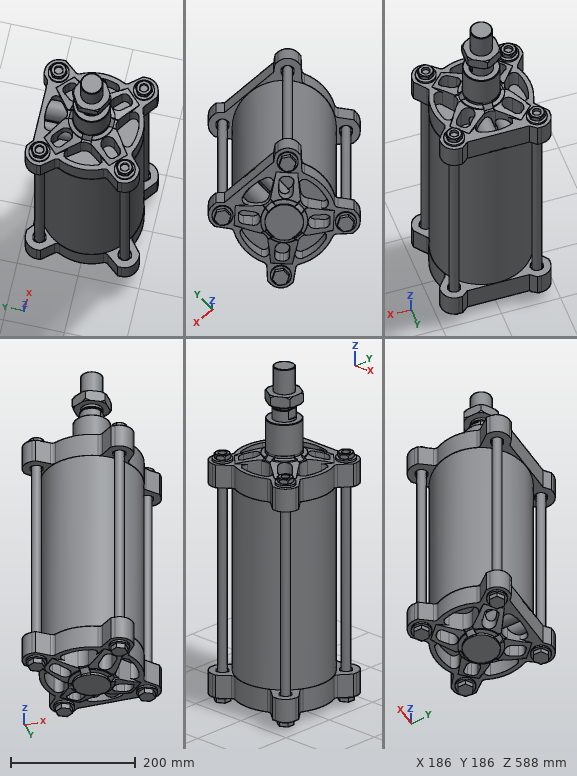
import cadquery as cq
import math


total_height = 588.0
cap_thickness = 40.0
hub_height = 18.0
sleeve_top = 497.5
top_cap_face = 424.5
bottom_cap_face = hub_height
mid_height = (top_cap_face + bottom_cap_face) / 2

overall_width = 186.0
boss_radius = 23.0
boss_offset = overall_width / 2 - boss_radius
cap_radius = 84.0
flat_side_half_width = 53.0
neck_start = 63.5
neck_end_near = 39.0
neck_end_far = 73.0
neck_fillet = 7.0
neck_limit = 79.0

pocket_depth = 30.0
pocket_apex = 36.5
rib_side_angle = 36.0
pocket_radius = 76.0
pocket_fillet = 9.0
pocket_tip_fillet = 15.0
rib_end = 79.5
dome_radius = 82.0
dome_rise = 13.5
rib_web_radius = 44.5
rib_slot_inner_end = 38.0
rib_slot_outer_end = 73.5
rib_slot_width = 23.5
rib_slot_outer_fillet = 9.0

port_bosses = ((-20.5, 24.0), (12.5, 34.0))
port_axis_depth = cap_thickness / 2
port_inner_end = 17.5

hub_diameter = 60.5
hub_radius = hub_diameter / 2
hub_base_radius = 36.5
hub_base_rise = 7.0
hub_cone_rise = 14.5
ring_diameter = 62.0
ring_radius = ring_diameter / 2
ring_base_radius = 37.5
ring_base_rise = 13.0
ring_neck_rise = 14.0
ring_slot_width = 16.0

barrel_diameter = 167.0
sleeve_chamfer = 1.0
tie_rod_diameter = 16.0
tie_rod_clearance_diameter = 21.0
tie_rod_clearance_depth = 6.0
washer_diameter = 33.5
washer_thickness = 3.5
tie_nut_flats = 24.0
tie_nut_height = 9.0
tie_nut_chamfer = 2.5
tie_nut_recess_diameter = 14.0
tie_nut_recess_depth = 6.0

rod_diameter = 40.0
thread_diameter = 36.0
relief_diameter = 33.5
shoulder_height = 517.5
relief_height = 2.5
rod_chamfer = 1.0
rod_foot = top_cap_face - cap_thickness
rod_flats = 36.0
rod_flat_bottom = 501.5
lock_nut_flats = 55.0
lock_nut_bottom = 525.5
lock_nut_height = 19.0
lock_nut_chamfer = 3.0

QUARTERS = (0, 90, 180, 270)
DIAGONAL = 45
HALF_HEX_ANGLE = 30


def about_z(shape, angle):
    return shape.rotate((0, 0, 0), (0, 0, 1), angle)


def revolved(profile):
    """Revolve a closed (radius, height) outline about Z."""
    return cq.Workplane("XZ").polyline(profile).close().revolve(360, (0, 0, 0), (0, 1, 0))


def cylinder(diameter, height, base):
    return cq.Workplane("XY").workplane(offset=base).circle(diameter / 2).extrude(height)


def hexagon(flats, height, base):
    """Hexagonal prism with flats facing +X and -X."""
    across_corners = flats / math.cos(math.radians(HALF_HEX_ANGLE))
    prism = cq.Workplane("XY").workplane(offset=base).polygon(6, across_corners).extrude(height)
    return about_z(prism, HALF_HEX_ANGLE)


def chamfered_hexagon(flats, height, base, chamfer):
    """Hexagonal prism whose corners are chamfered by a cone at both ends."""
    across_corners = flats / math.cos(math.radians(HALF_HEX_ANGLE))
    envelope = cylinder(across_corners, height, base).faces(">Z or <Z").chamfer(chamfer)
    return hexagon(flats, height, base).intersect(envelope)


def cap_blank():
    """Round body with four corner bosses and a straight +Y side, outer face at Z = 0."""
    def plate():
        return cq.Workplane("XY").workplane(offset=-cap_thickness)

    body = plate().circle(cap_radius).extrude(cap_thickness)
    edge = overall_width / 2
    arc_mid = boss_offset + boss_radius * math.sqrt(0.5)
    corner = (
        plate()
        .moveTo(0, 0)
        .lineTo(neck_end_near, neck_end_far)
        .lineTo(neck_start, edge)
        .lineTo(boss_offset, edge)
        .threePointArc((arc_mid, arc_mid), (edge, boss_offset))
        .lineTo(edge, neck_start)
        .lineTo(neck_end_far, neck_end_near)
        .close()
        .extrude(cap_thickness)
    )
    for angle in QUARTERS:
        body = body.union(about_z(corner, angle))
    neck_corners = cq.selectors.BoxSelector(
        (-neck_limit, -neck_limit, -cap_thickness),
        (neck_limit, neck_limit, 0),
    )
    body = body.edges("|Z").edges(neck_corners).fillet(neck_fillet)
    flat_side = plate().center(0, cap_radius / 2).rect(2 * flat_side_half_width, cap_radius)
    return body.union(flat_side.extrude(cap_thickness))


def raised_ribs():
    """Four diagonal ribs between the pocket apexes, under one shallow dome."""
    slope = math.tan(math.radians(rib_side_angle))
    near = (rib_end * math.sqrt(2) - pocket_apex) / (1 + slope)
    far = pocket_apex + near * slope
    outline = [(0, 0), (0, pocket_apex), (near, far), (far, near), (pocket_apex, 0)]
    prism = cq.Workplane("XY").polyline(outline).close().extrude(hub_height)
    cross = cylinder(2 * rib_web_radius, hub_height, 0)
    for angle in QUARTERS:
        cross = cross.union(about_z(prism, angle))
    sphere_radius = (dome_radius**2 + dome_rise**2) / (2 * dome_rise)
    sphere = cq.Workplane("XY").sphere(sphere_radius)
    return cross.intersect(sphere.translate((0, 0, dome_rise - sphere_radius)))


def rib_slot():
    """Opening along the +X+Y rib with a round inner end and rounded outer corners."""
    half_width = rib_slot_width / 2
    arc_start = rib_slot_inner_end + half_width
    slot = (
        cq.Workplane("XY")
        .workplane(offset=-pocket_depth)
        .moveTo(arc_start, -half_width)
        .lineTo(rib_slot_outer_end, -half_width)
        .lineTo(rib_slot_outer_end, half_width)
        .lineTo(arc_start, half_width)
        .threePointArc((rib_slot_inner_end, 0), (arc_start, -half_width))
        .close()
        .extrude(pocket_depth + dome_rise)
    )
    slot = slot.edges("|Z and >X").fillet(rib_slot_outer_fillet)
    return about_z(slot, DIAGONAL)


def face_pocket():
    """Rounded sector pocket on the +Y side."""
    reach = cap_radius
    drop = reach * math.tan(math.radians(rib_side_angle))
    pocket_height = pocket_depth + dome_rise
    sector = (
        cq.Workplane("XY")
        .workplane(offset=-pocket_depth)
        .polyline([(0, pocket_apex), (reach, pocket_apex + drop), (-reach, pocket_apex + drop)])
        .close()
        .extrude(pocket_height)
    )
    sector = sector.intersect(cylinder(2 * pocket_radius, pocket_height, -pocket_depth))
    sector = sector.edges("|Z and (>X or <X)").fillet(pocket_fillet)
    return sector.edges("|Z and <Y").fillet(pocket_tip_fillet)


def port_boss(x_position, diameter):
    return (
        cq.Workplane("XZ", origin=(x_position, port_inner_end, -port_axis_depth))
        .circle(diameter / 2)
        .extrude(port_inner_end - pocket_radius - pocket_fillet / 2)
    )


def hub_core():
    """Conical hub that closes the ring slots on the inside."""
    return revolved([
        (0, 0),
        (hub_base_radius, 0),
        (hub_base_radius, hub_base_rise),
        (hub_radius, hub_cone_rise),
        (hub_radius, hub_height),
        (0, hub_height),
    ])


def hub_ring():
    return revolved([
        (0, 0),
        (ring_base_radius, 0),
        (ring_base_radius, ring_base_rise),
        (ring_radius, ring_neck_rise),
        (ring_radius, hub_height),
        (0, hub_height),
    ])


def ring_slots():
    """Cross of two slots that divides the ring into four segments."""
    slot = (
        cq.Workplane("XY")
        .workplane(offset=hub_base_rise)
        .rect(overall_width, ring_slot_width)
        .extrude(hub_height - hub_base_rise)
    )
    return slot.union(about_z(slot, 90))


def end_cap():
    """Cap with its outer face at Z = 0, looking up."""
    cap = cap_blank().union(raised_ribs())
    for angle in QUARTERS:
        cap = cap.cut(about_z(face_pocket(), angle)).cut(about_z(rib_slot(), angle))
    for x_position, diameter in port_bosses:
        cap = cap.union(port_boss(x_position, diameter))
    clearance = cylinder(tie_rod_clearance_diameter, tie_rod_clearance_depth, -cap_thickness)
    for x, y in tie_rod_places():
        cap = cap.cut(clearance.translate((x, y, 0)))
    return cap.union(hub_ring()).cut(ring_slots()).union(hub_core())


def tie_rod_places():
    return [(sx * boss_offset, sy * boss_offset) for sx in (-1, 1) for sy in (-1, 1)]


def tie_rod():
    """Tie rod with a washer and a chamfered nut at the top and a plain head at the bottom."""
    rod = cylinder(tie_rod_diameter, top_cap_face - bottom_cap_face, bottom_cap_face)
    washer = cylinder(washer_diameter, washer_thickness, 0)
    top_nut = chamfered_hexagon(tie_nut_flats, tie_nut_height, 0, tie_nut_chamfer)
    top_nut = top_nut.faces(">Z").workplane().hole(tie_nut_recess_diameter, tie_nut_recess_depth)
    head = hexagon(tie_nut_flats, tie_nut_height, -tie_nut_height)
    return (
        rod.union(washer.translate((0, 0, top_cap_face)))
        .union(top_nut.translate((0, 0, top_cap_face + washer_thickness)))
        .union(washer.translate((0, 0, bottom_cap_face - washer_thickness)))
        .union(head.translate((0, 0, bottom_cap_face - washer_thickness)))
    )


def make_housing():
    top_cap = end_cap().translate((0, 0, top_cap_face))
    bottom_cap = top_cap.mirror("XY", (0, 0, mid_height))
    barrel_height = top_cap_face - bottom_cap_face - 2 * cap_thickness
    barrel = cylinder(barrel_diameter, barrel_height, bottom_cap_face + cap_thickness)
    sleeve = cylinder(hub_diameter, sleeve_top - top_cap_face, top_cap_face)
    sleeve = sleeve.faces(">Z").chamfer(sleeve_chamfer)
    housing = barrel.union(top_cap).union(bottom_cap).union(sleeve)
    for x, y in tie_rod_places():
        housing = housing.union(tie_rod().translate((x, y, 0)))
    return housing.cut(cylinder(rod_diameter, sleeve_top - rod_foot, rod_foot))


def make_piston_rod():
    shank_radius = rod_diameter / 2
    thread_radius = thread_diameter / 2
    relief_radius = relief_diameter / 2
    relief_top = shoulder_height + relief_height
    rod = revolved([
        (0, rod_foot),
        (shank_radius, rod_foot),
        (shank_radius, shoulder_height - rod_chamfer),
        (shank_radius - rod_chamfer, shoulder_height),
        (relief_radius, shoulder_height),
        (relief_radius, relief_top),
        (thread_radius, relief_top + rod_chamfer),
        (thread_radius, total_height - rod_chamfer),
        (thread_radius - rod_chamfer, total_height),
        (0, total_height),
    ])
    flat_height = shoulder_height - rod_flat_bottom
    for side in (-1, 1):
        wrench_flat = cq.Workplane("XY").box(rod_diameter, rod_diameter, flat_height)
        x = side * (rod_flats + rod_diameter) / 2
        rod = rod.cut(wrench_flat.translate((x, 0, rod_flat_bottom + flat_height / 2)))
    return rod


def make_lock_nut():
    nut = chamfered_hexagon(lock_nut_flats, lock_nut_height, lock_nut_bottom, lock_nut_chamfer)
    return nut.cut(cylinder(thread_diameter, lock_nut_height, lock_nut_bottom))


housing = make_housing()
piston_rod = make_piston_rod()
lock_nut = make_lock_nut()

result = cq.Compound.makeCompound([housing.val(), piston_rod.val(), lock_nut.val()])